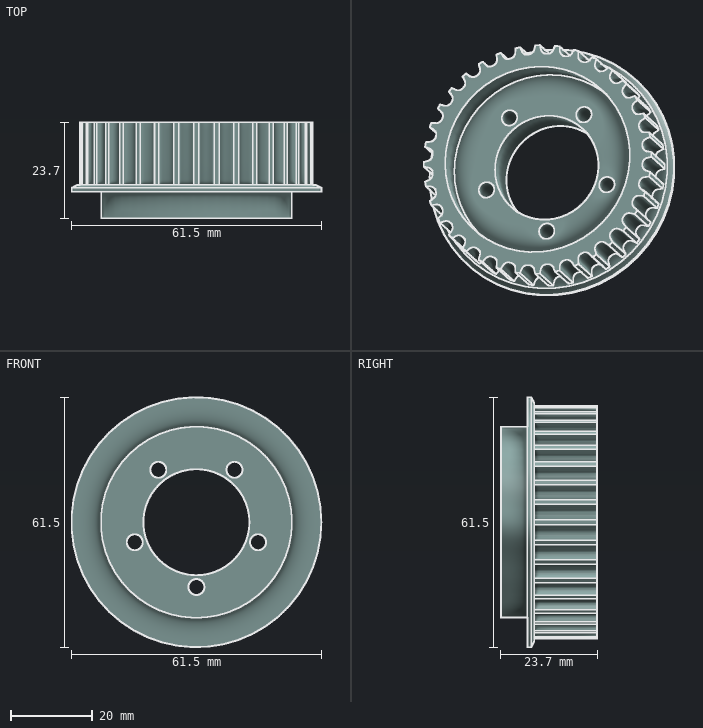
import cadquery as cq
import math

total_width = 23.7
hub_length = 6.5
rim_width = 1.0
flange_width = 1.7
web_thickness = 13.15

flange_diameter = 61.5
flange_back_diameter = 58.6
hub_diameter = 47.0
bore_diameter = 26.0
recess_diameter = 46.5

bolt_count = 5
bolt_diameter = 3.9
bolt_circle_radius = 15.9

tooth_count = 36
tip_radius = 28.65
groove_bottom_radius = 26.5
groove_bottom_width = 0.3
groove_corner_radius = 1.5
flank_angle = math.radians(18)


def groove_half_profile():
    """Right half of a groove centred on +Z, as (across, outward) points from bottom to tip."""
    corner_x = groove_bottom_width / 2
    corner_y = groove_bottom_radius + groove_corner_radius
    arc_sweep = math.pi / 2 - flank_angle

    def corner_point(angle):
        return (
            corner_x + groove_corner_radius * math.sin(angle),
            corner_y - groove_corner_radius * math.cos(angle),
        )

    flank_start = corner_point(arc_sweep)
    along = flank_start[0] * math.sin(flank_angle) + flank_start[1] * math.cos(flank_angle)
    start_squared = flank_start[0] ** 2 + flank_start[1] ** 2
    flank_length = math.sqrt(along**2 + tip_radius**2 - start_squared) - along
    tip = (
        flank_start[0] + flank_length * math.sin(flank_angle),
        flank_start[1] + flank_length * math.cos(flank_angle),
    )
    return corner_point(0), corner_point(arc_sweep / 2), flank_start, tip


def turned(point, angle):
    """Point turned clockwise about the pulley axis."""
    x, z = point
    return (
        x * math.cos(angle) + z * math.sin(angle),
        z * math.cos(angle) - x * math.sin(angle),
    )


def mirrored(point):
    return (-point[0], point[1])


def toothed_rim():
    bottom, arc_middle, flank_start, tip = groove_half_profile()
    pitch = 2 * math.pi / tooth_count
    first_groove = pitch / 2

    outline = cq.Workplane("XZ").moveTo(*turned(mirrored(tip), first_groove))
    for i in range(tooth_count):
        groove = first_groove + i * pitch
        outline = (
            outline.lineTo(*turned(mirrored(flank_start), groove))
            .threePointArc(turned(mirrored(arc_middle), groove), turned(mirrored(bottom), groove))
            .lineTo(*turned(bottom, groove))
            .threePointArc(turned(arc_middle, groove), turned(flank_start, groove))
            .lineTo(*turned(tip, groove))
            .threePointArc(
                turned((0, tip_radius), groove + pitch / 2),
                turned(mirrored(tip), groove + pitch),
            )
        )
    rim_length = total_width - hub_length
    return outline.close().extrude(-rim_length).translate((0, hub_length, 0))


def hub_and_flange():
    """Turned body: the hub, then the flange with a bevelled back edge."""
    rim_back = hub_length + rim_width
    flange_back = hub_length + flange_width
    half_section = [
        (0, 0),
        (hub_diameter / 2, 0),
        (hub_diameter / 2, hub_length),
        (flange_diameter / 2, hub_length),
        (flange_diameter / 2, rim_back),
        (flange_back_diameter / 2, flange_back),
        (0, flange_back),
    ]
    return cq.Workplane("XY").polyline(half_section).close().revolve(360, (0, 0, 0), (0, 1, 0))


def bore():
    return cq.Workplane("XZ").circle(bore_diameter / 2).extrude(-total_width)


def back_recess():
    """Wide recess behind the web, open at the back."""
    depth = total_width - web_thickness
    recess = cq.Workplane("XZ").circle(recess_diameter / 2).extrude(-depth)
    return recess.translate((0, web_thickness, 0))


def bolt_holes():
    return (
        cq.Workplane("XZ")
        .polarArray(bolt_circle_radius, -90, 360, bolt_count)
        .circle(bolt_diameter / 2)
        .extrude(-total_width)
    )


result = hub_and_flange().union(toothed_rim()).cut(bore()).cut(back_recess()).cut(bolt_holes())